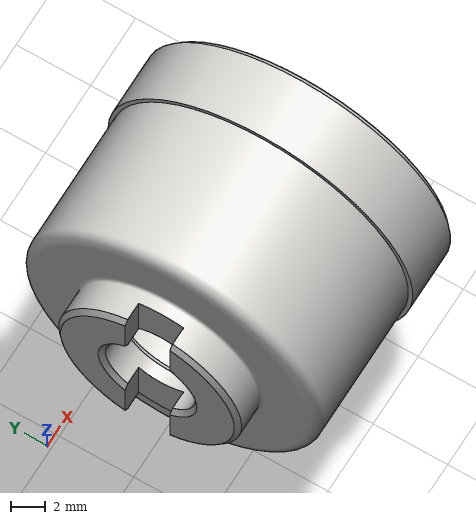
import cadquery as cq

total_length = 17.0
boss_length = 2.45
collar_length = 4.5
bore_length = 2.41

collar_radius = 10.22
body_radius = 9.93
boss_radius = 6.13
bore_radius = 3.0
cavity_radius = 9.5

body_fillet = 0.74
boss_root_fillet = 0.18
edge_chamfer = 0.3

slot_width = 3.0
slot_depth = 1.51


def cylinder(radius, start, end):
    """Cylinder about the X axis between two axial positions."""
    return cq.Workplane("YZ", origin=(start, 0, 0)).circle(radius).extrude(end - start)


def make_body():
    """Drum with a rounded front edge and a chamfered collar at the back."""
    drum = cylinder(body_radius, boss_length, total_length).faces("<X").edges().fillet(body_fillet)
    collar = cylinder(collar_radius, total_length - collar_length, total_length)
    return drum.union(collar.faces(">X").edges().chamfer(edge_chamfer))


def add_boss(body):
    """Chamfered boss blended into the front face of the drum."""
    boss = cylinder(boss_radius, 0, total_length / 2).faces("<X").edges().chamfer(edge_chamfer)
    root = cq.selectors.BoxSelector(
        (boss_length - boss_root_fillet, -boss_radius - 0.2, -boss_radius - 0.2),
        (boss_length + boss_root_fillet, boss_radius + 0.2, boss_radius + 0.2),
    )
    return body.union(boss).edges(root).fillet(boss_root_fillet)


def cut_bore(part):
    """Bore chamfered at both ends, opening into a wider cavity that runs out of the back."""
    mouth_radius = bore_radius + edge_chamfer
    outline = [
        (0, 0),
        (0, mouth_radius),
        (edge_chamfer, bore_radius),
        (bore_length, bore_radius),
        (bore_length + edge_chamfer, mouth_radius),
        (bore_length + edge_chamfer, cavity_radius),
        (total_length, cavity_radius),
        (total_length, 0),
    ]
    opening = cq.Workplane("XY").polyline(outline).close().revolve(360, (0, 0, 0), (1, 0, 0))
    return part.cut(opening)


def cut_slot(part):
    """Slot running across the whole boss along Z."""
    slot = cq.Workplane("XY").box(slot_depth, slot_width, 2 * collar_radius, centered=(False, True, True))
    return part.cut(slot)


result = cut_slot(cut_bore(add_boss(make_body())))